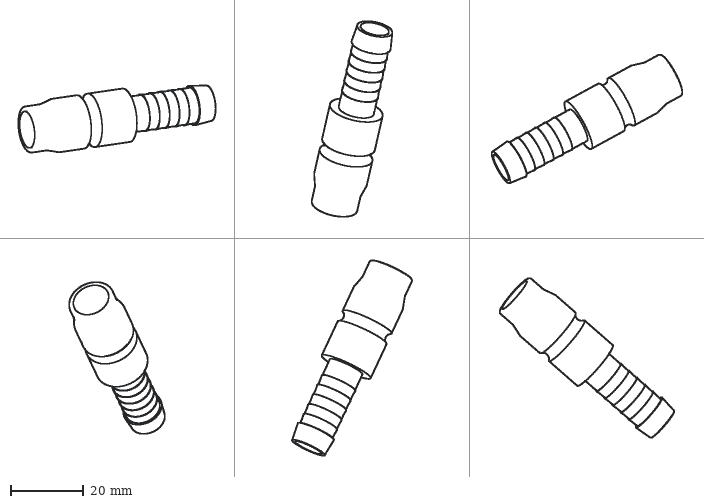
import cadquery as cq

total_length = 55.0
nose_length = 5.0
taper_length = 3.65
front_collar_length = 7.5
groove_width = 3.3
tail_length = 25.0
end_barb_length = 5.0

collar_diameter = 15.0
collar_radius = collar_diameter / 2
nose_radius = 6.5
groove_radius = 6.5
tail_radius = 5.0
end_barb_radius = 5.55
ridge_radius = 5.15
bore_radius = 4.0
nose_bore_radius = 5.1

ridge_count = 5
ridge_span = 15.0
ridge_pitch = ridge_span / ridge_count
ridge_taper_length = ridge_pitch / 2

nose_fillet = 0.5
nose_bore_depth = 24.75

nose_y = -total_length / 2
hose_end_y = total_length / 2
taper_start_y = nose_y + nose_length
taper_end_y = taper_start_y + taper_length
groove_start_y = taper_end_y + front_collar_length
groove_end_y = groove_start_y + groove_width
tail_start_y = hose_end_y - tail_length
barb_step_y = hose_end_y - end_barb_length


def add_body(profile):
    """Draw the nose, taper and grooved collar, up to the tail shoulder."""
    return (
        profile.lineTo(nose_radius, nose_y)
        .lineTo(nose_radius, taper_start_y)
        .lineTo(collar_radius, taper_end_y)
        .lineTo(collar_radius, groove_start_y)
        .threePointArc(
            (groove_radius, (groove_start_y + groove_end_y) / 2),
            (collar_radius, groove_end_y),
        )
        .lineTo(collar_radius, tail_start_y)
        .lineTo(tail_radius, tail_start_y)
    )


def add_ridges(profile):
    """Draw the saw-tooth ridges, each stepping up and tapering off toward +Y."""
    for index in range(ridge_count, 0, -1):
        step_y = barb_step_y - index * ridge_pitch
        profile = (
            profile.lineTo(tail_radius, step_y)
            .lineTo(ridge_radius, step_y)
            .lineTo(tail_radius, step_y + ridge_taper_length)
        )
    return profile


def add_end_barb(profile):
    """Draw the large barb that narrows to the hose end."""
    return (
        profile.lineTo(tail_radius, barb_step_y)
        .lineTo(end_barb_radius, barb_step_y)
        .lineTo(tail_radius, hose_end_y)
        .lineTo(0, hose_end_y)
    )


def bore(radius, depth):
    """Cylinder along the axis, starting at the nose face."""
    return cq.Workplane("XZ", origin=(0, nose_y, 0)).circle(radius).extrude(-depth)


profile = cq.Workplane("XY").moveTo(0, nose_y)
profile = add_body(profile)
profile = add_ridges(profile)
profile = add_end_barb(profile)
outer = profile.close().revolve(360, (0, 0, 0), (0, 1, 0))

outer = outer.faces("<Y").edges().fillet(nose_fillet)

result = outer.cut(bore(bore_radius, total_length)).cut(bore(nose_bore_radius, nose_bore_depth))